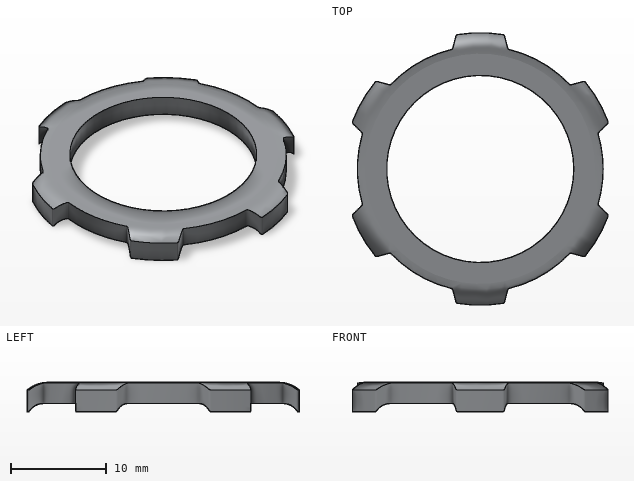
import cadquery as cq
import math

outer_radius = 14.23
root_radius = 12.84
bore_radius = 19.5 / 2
height = 3.1
ring_thickness = 2.25

top_flat_radius = 12.0
top_shoulder_drop = 0.83
underside_flat_radius = 12.8

tab_count = 6
tab_root_half_width = 2.9
tab_tip_half_width = 2.5
corner_radius = 0.25

ring_underside = height - ring_thickness
shoulder_edge = height - top_shoulder_drop


def tangent_arc_radius(run, drop):
    """Radius of an arc that starts horizontal and falls by drop over run."""
    return (run**2 + drop**2) / (2 * drop)


def shoulder_midpoint(start_radius, start_height, drop):
    """Middle point of the shoulder arc that ends at the outer radius."""
    run = outer_radius - start_radius
    arc_radius = tangent_arc_radius(run, drop)
    half_sweep = math.asin(run / arc_radius) / 2
    return (
        start_radius + arc_radius * math.sin(half_sweep),
        start_height - arc_radius * (1 - math.cos(half_sweep)),
    )


def make_domed_ring():
    """Revolved ring whose rim curls down to a sharp lower edge."""
    return (
        cq.Workplane("XZ")
        .moveTo(bore_radius, ring_underside)
        .lineTo(bore_radius, height)
        .lineTo(top_flat_radius, height)
        .threePointArc(
            shoulder_midpoint(top_flat_radius, height, top_shoulder_drop),
            (outer_radius, shoulder_edge),
        )
        .lineTo(outer_radius, 0)
        .threePointArc(
            shoulder_midpoint(underside_flat_radius, ring_underside, ring_underside),
            (underside_flat_radius, ring_underside),
        )
        .close()
        .revolve(360, (0, 0, 0), (0, 1, 0))
    )


def make_tab_blank():
    """Tapered tab pointing along +Y, with its tip on the outer circle."""
    root_y = math.sqrt(root_radius**2 - tab_root_half_width**2)
    tip_y = math.sqrt(outer_radius**2 - tab_tip_half_width**2)
    return (
        cq.Workplane("XY")
        .polyline([(0, 0), (tab_root_half_width, root_y), (tab_tip_half_width, tip_y)])
        .threePointArc((0, outer_radius), (-tab_tip_half_width, tip_y))
        .lineTo(-tab_root_half_width, root_y)
        .close()
        .extrude(height)
    )


def make_rim_outline():
    """Plain prism with the outline of the rim and its rounded tab corners."""
    outline = cq.Workplane("XY").circle(root_radius).extrude(height)
    tab = make_tab_blank()
    for index in range(tab_count):
        angle = index * 360 / tab_count
        outline = outline.union(tab.rotate((0, 0, 0), (0, 0, 1), angle))
    return outline.edges("|Z").fillet(corner_radius)


result = make_domed_ring().intersect(make_rim_outline())